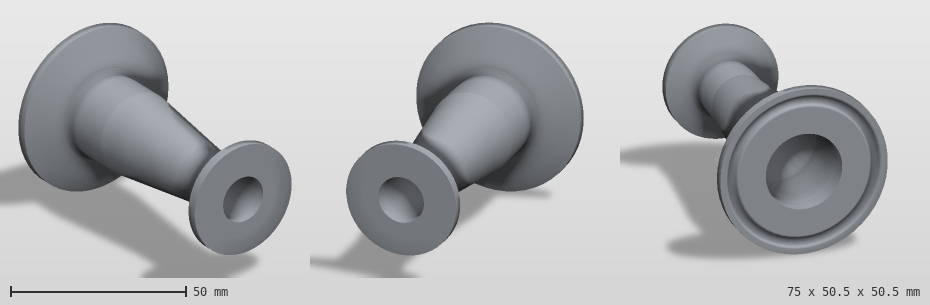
import cadquery as cq
import math

length = 75.0
large_tube_end = 22.9
small_tube_length = 19.9
small_tube_start = length - small_tube_length

large_flange_radius = 50.5 / 2
large_tube_radius = 25.4 / 2
large_bore_radius = 23.0 / 2
small_flange_radius = 34.0 / 2
small_tube_radius = 17.3 / 2
small_bore_radius = 14.0 / 2

rim_thickness = 3.0
back_slope = math.radians(20)
neck_fillet = 2.1

groove_radius = 21.6
groove_half_width = 2.0
groove_depth = 1.6
groove_floor_radius = 1.35
groove_lip_radius = 0.75
groove_wall_angle = math.radians(67)


def revolve_about_x(profile):
    """Turn a closed profile of (axial, radial) points about the X axis."""
    return profile.close().revolve(360, (0, 0, 0), (1, 0, 0))


def neck_distance(flange_radius, tube_radius):
    """Axial distance from the flange face to the sharp corner at the tube."""
    return rim_thickness + (flange_radius - tube_radius) * math.tan(back_slope)


def make_body():
    large_neck = neck_distance(large_flange_radius, large_tube_radius)
    small_neck = length - neck_distance(small_flange_radius, small_tube_radius)
    profile = cq.Workplane("XY").polyline([
        (0, 0),
        (0, large_flange_radius),
        (rim_thickness, large_flange_radius),
        (large_neck, large_tube_radius),
        (large_tube_end, large_tube_radius),
        (small_tube_start, small_tube_radius),
        (small_neck, small_tube_radius),
        (length - rim_thickness, small_flange_radius),
        (length, small_flange_radius),
        (length, 0),
    ])
    body = revolve_about_x(profile)
    for neck in (large_neck, small_neck):
        neck_zone = cq.selectors.BoxSelector(
            (neck - neck_fillet / 2, -large_flange_radius, -large_flange_radius),
            (neck + neck_fillet / 2, large_flange_radius, large_flange_radius),
            boundingbox=True,
        )
        body = body.edges(neck_zone).fillet(neck_fillet)
    return body


def make_bore():
    return revolve_about_x(cq.Workplane("XY").polyline([
        (0, 0),
        (0, large_bore_radius),
        (large_tube_end, large_bore_radius),
        (small_tube_start, small_bore_radius),
        (length, small_bore_radius),
        (length, 0),
    ]))


def make_groove():
    """Round-bottomed ring with straight walls and rounded lips."""
    def arc_offset(radius, angle):
        """Sideways run and rise from the level end of an arc."""
        return radius * math.sin(angle), radius * (1 - math.cos(angle))

    lip_mid_run, lip_mid_rise = arc_offset(groove_lip_radius, groove_wall_angle / 2)
    lip_run, lip_rise = arc_offset(groove_lip_radius, groove_wall_angle)
    floor_run, floor_rise = arc_offset(groove_floor_radius, groove_wall_angle)
    inner_edge = groove_radius - groove_half_width
    outer_edge = groove_radius + groove_half_width
    wall_bottom = groove_depth - floor_rise
    profile = (
        cq.Workplane("XY")
        .moveTo(0, inner_edge)
        .threePointArc((lip_mid_rise, inner_edge + lip_mid_run), (lip_rise, inner_edge + lip_run))
        .lineTo(wall_bottom, groove_radius - floor_run)
        .threePointArc((groove_depth, groove_radius), (wall_bottom, groove_radius + floor_run))
        .lineTo(lip_rise, outer_edge - lip_run)
        .threePointArc((lip_mid_rise, outer_edge - lip_mid_run), (0, outer_edge))
    )
    return revolve_about_x(profile)


result = make_body().cut(make_bore()).cut(make_groove())